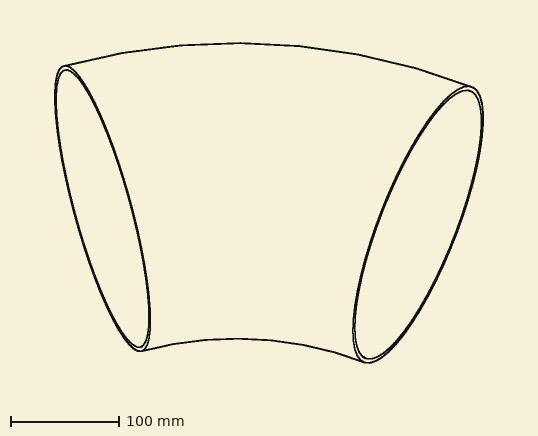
import cadquery as cq
import math

bend_angle = 45.0
rise = 366.0
outer_diameter = 273.0
wall = 4.0

outer_radius = outer_diameter / 2
inner_radius = outer_radius - wall
outer_bend_radius = rise / math.sin(math.radians(bend_angle))
bend_radius = outer_bend_radius - outer_radius


def make_elbow():
    """Revolve the pipe ring about a vertical axis on the +X side of the inlet."""
    ring = cq.Workplane("XZ").circle(outer_radius).circle(inner_radius)
    axis_start = (bend_radius, 0)
    axis_end = (bend_radius, -1)
    return ring.revolve(bend_angle, axis_start, axis_end)


result = make_elbow()